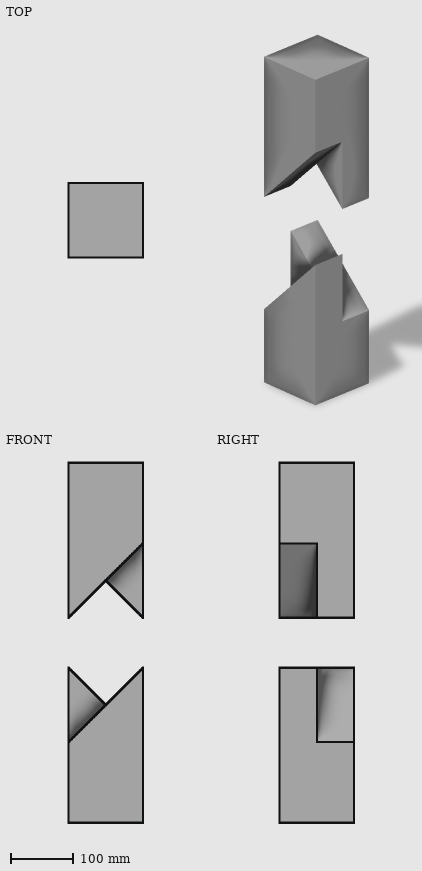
import cadquery as cq

total_height = 580.0
post_width = 120.0
post_length = 250.0
taper_height = post_width

half_width = post_width / 2
top_z = total_height / 2
tip_z = top_z - post_length
shoulder_z = tip_z + taper_height


def tapered_half(left_z, right_z, front_y):
    """Half-thickness post with a sloping lower end, running from front_y toward +Y."""
    outline = [
        (-half_width, left_z),
        (half_width, right_z),
        (half_width, top_z),
        (-half_width, top_z),
    ]
    return (
        cq.Workplane("XZ", origin=(0, front_y, 0))
        .polyline(outline)
        .close()
        .extrude(-half_width)
    )


def make_upper_post():
    """Square post whose two halves taper to tips on opposite sides."""
    front_half = tapered_half(tip_z, shoulder_z, -half_width)
    back_half = tapered_half(shoulder_z, tip_z, 0)
    return front_half.union(back_half).clean()


def make_lower_post():
    """Mating post: the upper post turned half a revolution about the Y axis."""
    return make_upper_post().rotate((0, 0, 0), (0, 1, 0), 180)


upper_post = make_upper_post()
lower_post = make_lower_post()

result = cq.Compound.makeCompound([upper_post.val(), lower_post.val()])